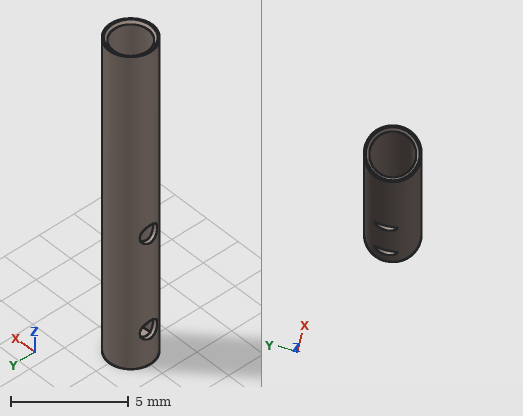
import cadquery as cq

length = 18.0
outer_diameter = 2.47
bore_diameter = 2.0
floor_thickness = 0.5

mouth_diameter = 2.3
mouth_depth = 0.15

side_hole_diameter = 1.0
side_hole_heights = (2.0, 7.5)


def tube():
    """Tube closed at the bottom, revolved from its half section."""
    outer_radius = outer_diameter / 2
    bore_radius = bore_diameter / 2
    return (
        cq.Workplane("XZ")
        .moveTo(0, 0)
        .lineTo(outer_radius, 0)
        .lineTo(outer_radius, length)
        .lineTo(mouth_diameter / 2, length)
        .lineTo(bore_radius, length - mouth_depth)
        .lineTo(bore_radius, floor_thickness)
        .lineTo(0, floor_thickness)
        .close()
        .revolve(360, (0, 0, 0), (0, 1, 0))
    )


def side_hole(height):
    """Radial cutter running from the tube axis out through the -X wall."""
    return (
        cq.Workplane("YZ")
        .center(0, height)
        .circle(side_hole_diameter / 2)
        .extrude(-outer_diameter)
    )


result = tube()
for hole_height in side_hole_heights:
    result = result.cut(side_hole(hole_height))